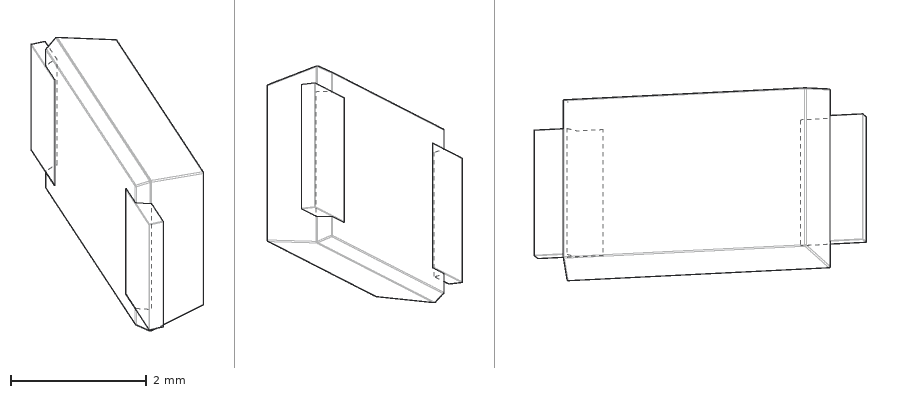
import cadquery as cq
import math

body_length = 4.0
body_width = 2.7
body_height = 1.1
standoff = 0.01
seat_length = 3.8
seat_width = 2.5
upper_draft = math.radians(10)
band_start_y = 0.206
band_height = 0.02
body_edge_radius = 0.02

overall_length = 5.0
lead_length = 1.0
lead_width = 1.9
lead_thickness = 0.228
lead_edge_radius = 0.009

band_end_y = band_start_y + band_height
top_y = standoff + body_height
top_inset = (top_y - band_end_y) * math.tan(upper_draft)


def tapered_block(start_y, start_size, end_y, end_size):
    """Block lofted along Y between two X-Z rectangles centred on the Y axis."""
    return (
        cq.Workplane("XZ", origin=(0, start_y, 0))
        .rect(*start_size)
        .workplane(offset=start_y - end_y)
        .rect(*end_size)
        .loft(ruled=True)
    )


def make_body():
    """Body in three layers: seating taper, straight parting band and drafted top."""
    seat_size = (seat_length, seat_width)
    band_size = (body_length, body_width)
    top_size = (body_length - 2 * top_inset, body_width - 2 * top_inset)
    lower = tapered_block(standoff, seat_size, band_start_y, band_size)
    band = tapered_block(band_start_y, band_size, band_end_y, band_size)
    upper = tapered_block(band_end_y, band_size, top_y, top_size)
    return lower.union(band).union(upper).edges().fillet(body_edge_radius)


def make_lead(side):
    """Flat lead at the -X (side = -1) or +X (side = 1) end."""
    center_x = side * (overall_length - lead_length) / 2
    lead = cq.Workplane("XY").box(lead_length, lead_thickness, lead_width)
    return lead.edges().fillet(lead_edge_radius).translate((center_x, lead_thickness / 2, 0))


result = make_body()
for end in (-1, 1):
    result = result.union(make_lead(end))